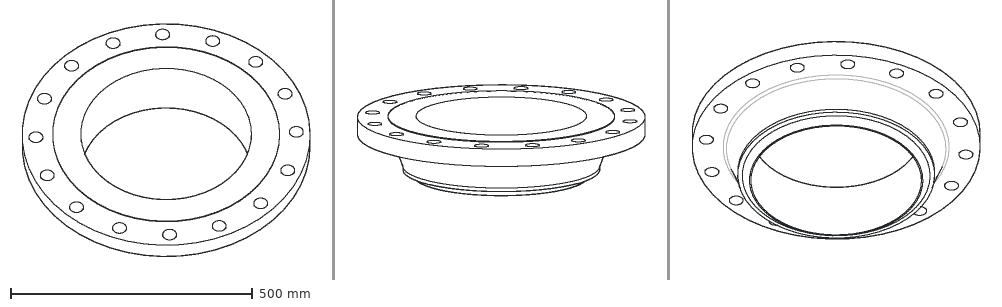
import cadquery as cq
import math

total_height = 128.5
flange_radius = 298.5
bore_radius = 176.5

raised_face_height = 2.0
raised_face_radius = 235.0
flange_thickness = 37.0
flange_top = total_height - raised_face_height
flange_bottom = flange_top - flange_thickness

hub_fillet_radius = 7.0
hub_top_radius = 229.0
hub_bottom_radius = 204.0
hub_bottom = 22.0

band_bottom = 14.5
bevel_break_radius = 194.5
bevel_break_height = 12.5
weld_end_radius = 179.5

bolt_count = 16
bolt_circle_radius = 270.0
bolt_hole_diameter = 28.5


def revolved_body():
    """Half section in the XZ plane, turned about the Z axis."""
    section = (
        cq.Workplane("XZ")
        .moveTo(bore_radius, 0)
        .lineTo(weld_end_radius, 0)
        .lineTo(bevel_break_radius, bevel_break_height)
        .lineTo(hub_bottom_radius, band_bottom)
        .lineTo(hub_bottom_radius, hub_bottom)
        .lineTo(hub_top_radius, flange_bottom)
        .lineTo(flange_radius, flange_bottom)
        .lineTo(flange_radius, flange_top)
        .lineTo(raised_face_radius, flange_top)
        .lineTo(raised_face_radius, total_height)
        .lineTo(bore_radius, total_height)
        .close()
    )
    body = section.revolve(360, (0, 0, 0), (0, 1, 0))
    hub_corner = body.edges("%CIRCLE").filter(
        lambda edge: math.isclose(edge.radius(), hub_top_radius, abs_tol=0.005)
    )
    return hub_corner.fillet(hub_fillet_radius)


def bolt_holes():
    """Ring of cylinders that pass through the flange plate."""
    return (
        cq.Workplane("XY")
        .workplane(offset=flange_bottom)
        .polarArray(bolt_circle_radius, 0, 360, bolt_count)
        .circle(bolt_hole_diameter / 2)
        .extrude(flange_thickness)
    )


result = revolved_body().cut(bolt_holes())